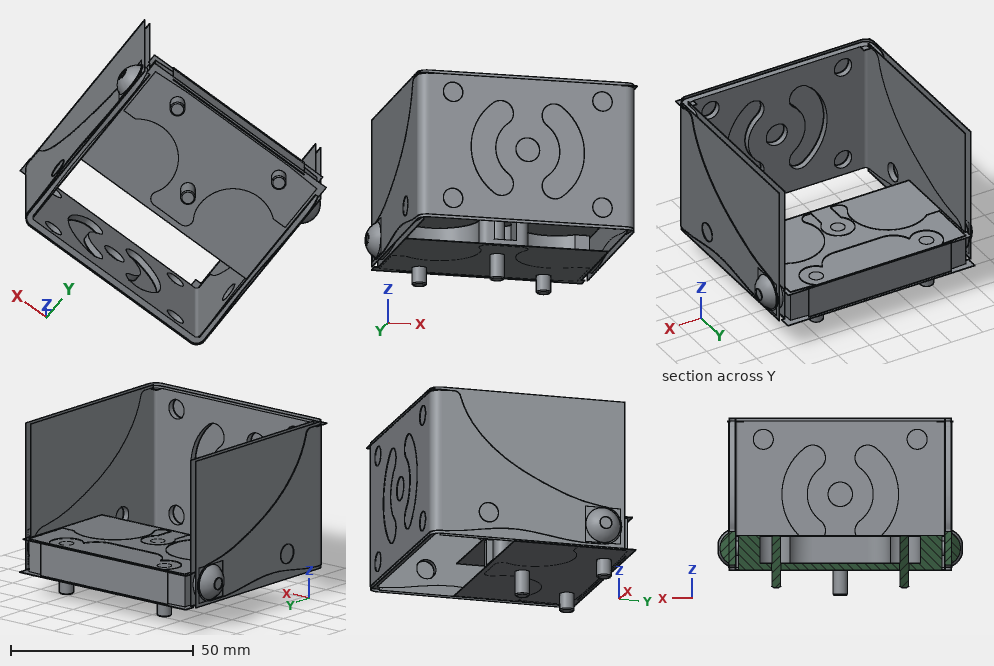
import cadquery as cq
import math

TINY_STEP = 0.1
PANEL = 0.2
MARGIN = 0.8

SHEET = 2.0
HALF_WIDTH = 30.5
INNER_HALF_WIDTH = HALF_WIDTH - SHEET
BEND_RADIUS = 2.8
PANEL_HEIGHT = 41.6
PANEL_LENGTH = 55.25
MID_Z = PANEL_HEIGHT / 2
SHEET_TOP = PANEL_HEIGHT - MARGIN
CORNER_OVERHANG = 0.3
CORNER_PLATE = 4.3
FRONT_Y = CORNER_OVERHANG

ARM_END_RADIUS = 5.35
SHOULDER_Y = 6.35
SHOULDER_MIDDLE = (7.7, 40.4)
SHOULDER_END = (8.4, 39.15)
SWEEP_POINTS = [(13.5, 29.9), (24.7, 20.6), (35.4, 15.3)]
SWEEP_START_DIRECTION = (0.3, -1)
SWEEP_END_DIRECTION = (1, -0.15)
UNDERSIDE_BACK_Y = 43.2
UNDERSIDE_POINTS = [(33.7, 1.9), (26.9, 2.8), (19.5, 2.8), (13.35, 1.95), (4.0, MARGIN)]

FIXING_RADIUS = 2.75
FIXING_X = 21.05
FIXING_Z = 15.0
CENTRE_RADIUS = 3.35
SLOT_PATH_RADIUS = 12.5
SLOT_WIDTH = 6.95
SLOT_HALF_ANGLE = 53
ARM_HOLE_Y = 16.4
ARM_HOLE_Z = 7.1

SCREW_Y = 49.0
SCREW_Z = 6.1
HEAD_RADIUS = 4.95
HEAD_TIP_X = 33.4
HEAD_HEIGHT = HEAD_TIP_X - HALF_WIDTH
HEAD_MID_RADIUS = 3.7
HEAD_MID_RISE = 0.6
COLLAR_SIDE = 10.0
SOCKET_RADIUS = 1.7
SOCKET_DEPTH = 0.35
SHANK_RADIUS = 2.0
SHANK_LENGTH = 6.0

BASE_TOP = 9.55
FLOOR = SHEET
TAB_X = 27.85
TAB_BACK_Y = 56.85
BACK_Y = 57.4
TAB_FRONT_Y = 42.6
COVE_RADIUS = 11.35
COVE_X = 16.55
COVE_Y = 33.85
FOOT_RADIUS = 2.3
FOOT_X = 4.55
FOOT_Y = 28.2
NECK_MIDDLE = (5.5, 31.5)
FOOT_TOP = (6.4, 29.4)
POCKET_RADIUS = 4.7
POCKET_FRONT_Y = 45.9
POCKET_FLAT_X = 7.7
POCKET_CUSP = (13.75, 50.35)
POCKET_MOUTH_X = 20.2
POCKET_CORNER_RADIUS = 6.35
KEY_SLOT_X = 3.1
BOTTOM_PANEL_BACK = 58.7
BOTTOM_PANEL_FRONT = 24.3
BOTTOM_PANEL_X = 29.65
TOP_PANEL_X = 29.05
BACK_PANEL_X = 22.65
BACK_PANEL_TOP = 9.8

PIN_RADIUS = 2.0
PIN_CHAMFER = 0.35
SIDE_PIN_X = 17.5
SIDE_PIN_Y = 53.2
SIDE_PIN_DROP = 4.8
CENTRE_PIN_Y = 35.2
CENTRE_PIN_DROP = 6.8
PIN_PLACES = [
    (-SIDE_PIN_X, SIDE_PIN_Y, SIDE_PIN_DROP),
    (0, CENTRE_PIN_Y, CENTRE_PIN_DROP),
    (SIDE_PIN_X, SIDE_PIN_Y, SIDE_PIN_DROP),
]


def box(x0, x1, y0, y1, z0, z1):
    """Box between two opposite corners."""
    return cq.Workplane("XY").box(x1 - x0, y1 - y0, z1 - z0, centered=False).translate((x0, y0, z0))


def rod_z(x, y, radius, z0, z1):
    """Vertical cylinder between two heights."""
    return cq.Workplane("XY", origin=(x, y, z0)).circle(radius).extrude(z1 - z0)


def rod_x(y, z, radius, half_length):
    """Cylinder along X, centred on X = 0."""
    return cq.Workplane("YZ", origin=(0, y, z)).circle(radius).extrude(half_length, both=True)


def mirrored(body):
    """The body together with its mirror image across X = 0."""
    return body.union(body.mirror("YZ"))


def u_block(inset):
    """Solid with the outer outline of the bracket, moved inwards by inset."""
    half = HALF_WIDTH - inset
    block = box(-half, half, FRONT_Y + inset, PANEL_LENGTH, 0, PANEL_HEIGHT)
    return block.edges("|Z and <Y").fillet(BEND_RADIUS - inset)


def u_shell(inset, thickness):
    """U-shaped layer of the bracket, at full panel height."""
    return u_block(inset).cut(u_block(inset + thickness))


def arm_outline():
    """Side outline of the thick sheet: tall at the front, sweeping down to a round screw end."""
    end_top = (SCREW_Y, SCREW_Z + ARM_END_RADIUS)
    end_tip = (SCREW_Y + ARM_END_RADIUS, SCREW_Z)
    end_bottom = (SCREW_Y, SCREW_Z - ARM_END_RADIUS)
    sweep_directions = [SWEEP_START_DIRECTION, SWEEP_END_DIRECTION]
    return (
        cq.Workplane("YZ", origin=(-HALF_WIDTH, 0, 0))
        .moveTo(FRONT_Y, MARGIN)
        .lineTo(FRONT_Y, SHEET_TOP)
        .lineTo(SHOULDER_Y, SHEET_TOP)
        .threePointArc(SHOULDER_MIDDLE, SHOULDER_END)
        .spline([*SWEEP_POINTS, end_top], tangents=sweep_directions, includeCurrent=True)
        .threePointArc(end_tip, end_bottom)
        .lineTo(UNDERSIDE_BACK_Y, SCREW_Z - ARM_END_RADIUS)
        .spline(UNDERSIDE_POINTS, includeCurrent=True)
        .close()
        .extrude(2 * HALF_WIDTH)
    )


def curved_slot():
    """Cutter for the right-hand arc slot with round ends in the front wall."""
    angle = math.radians(SLOT_HALF_ANGLE)
    inner = SLOT_PATH_RADIUS - SLOT_WIDTH / 2
    outer = SLOT_PATH_RADIUS + SLOT_WIDTH / 2

    def polar(radius, turn):
        return radius * math.cos(turn), radius * math.sin(turn)

    def end_tip(side):
        x, z = polar(SLOT_PATH_RADIUS, side * angle)
        end = SLOT_WIDTH / 2
        return x - end * math.sin(angle), z + side * end * math.cos(angle)

    return (
        cq.Workplane("XZ", origin=(0, FRONT_Y, MID_Z))
        .moveTo(*polar(outer, -angle))
        .threePointArc((outer, 0), polar(outer, angle))
        .threePointArc(end_tip(1), polar(inner, angle))
        .threePointArc((inner, 0), polar(inner, -angle))
        .threePointArc(end_tip(-1), polar(outer, -angle))
        .close()
        .extrude(-SHEET)
    )


def front_openings():
    """Cutters for the round holes and the two arc slots in the front wall."""
    wall = cq.Workplane("XZ", origin=(0, FRONT_Y, MID_Z))
    corners = [(sx * FIXING_X, sz * FIXING_Z) for sx in (-1, 1) for sz in (-1, 1)]
    fixings = wall.pushPoints(corners).circle(FIXING_RADIUS).extrude(-SHEET)
    centre = wall.circle(CENTRE_RADIUS).extrude(-SHEET)
    return fixings.union(centre).union(mirrored(curved_slot()))


def corner_plate():
    """Thin square plate over the top end of the right-hand bend."""
    x = HALF_WIDTH + CORNER_OVERHANG
    return box(x - CORNER_PLATE, x, 0, CORNER_PLATE, SHEET_TOP - PANEL, SHEET_TOP)


def make_bracket():
    """Thick sheet with openings, closed on the outside by a thin rectangular panel layer."""
    sheet = u_shell(0, SHEET).intersect(arm_outline())
    inner_panel = box(
        INNER_HALF_WIDTH, INNER_HALF_WIDTH + PANEL, FRONT_Y + BEND_RADIUS, PANEL_LENGTH, 0, PANEL_HEIGHT
    )
    bracket = sheet.union(mirrored(inner_panel))
    bracket = bracket.cut(front_openings())
    bracket = bracket.cut(rod_x(ARM_HOLE_Y, ARM_HOLE_Z, FIXING_RADIUS, HALF_WIDTH))
    bracket = bracket.union(u_shell(TINY_STEP, PANEL))
    bracket = bracket.union(mirrored(corner_plate()))
    return bracket.cut(rod_x(SCREW_Y, SCREW_Z, SHANK_RADIUS, HALF_WIDTH))


def base_half_outline():
    """Right half of the block: a tab, a concave cove and a rounded foot."""
    cove_start_x = COVE_X + math.sqrt(COVE_RADIUS**2 - (TAB_FRONT_Y - COVE_Y) ** 2)
    cove_side = (COVE_X - COVE_RADIUS, COVE_Y)
    return (
        cq.Workplane("XY")
        .moveTo(0, BACK_Y)
        .lineTo(SIDE_PIN_X, BACK_Y)
        .lineTo(TAB_X, TAB_BACK_Y)
        .lineTo(TAB_X, TAB_FRONT_Y)
        .lineTo(cove_start_x, TAB_FRONT_Y)
        .threePointArc((COVE_X, COVE_Y + COVE_RADIUS), cove_side)
        .threePointArc(NECK_MIDDLE, FOOT_TOP)
        .threePointArc((FOOT_X + FOOT_RADIUS, FOOT_Y), (FOOT_X, FOOT_Y - FOOT_RADIUS))
        .lineTo(0, FOOT_Y - FOOT_RADIUS)
        .close()
        .extrude(BASE_TOP)
    )


def back_pocket_half():
    """Right half of the pocket open to the back: a lobe round the pin and a rounded front edge."""
    lobe = rod_z(SIDE_PIN_X, SIDE_PIN_Y, POCKET_RADIUS, FLOOR, BASE_TOP)
    arc_centre_y = POCKET_FRONT_Y + POCKET_CORNER_RADIUS
    arc_turn = math.radians(45)
    arc_middle = (
        POCKET_FLAT_X + POCKET_CORNER_RADIUS * math.cos(arc_turn),
        arc_centre_y - POCKET_CORNER_RADIUS * math.sin(arc_turn),
    )
    middle = (
        cq.Workplane("XY", origin=(0, 0, FLOOR))
        .moveTo(0, POCKET_FRONT_Y)
        .lineTo(POCKET_FLAT_X, POCKET_FRONT_Y)
        .threePointArc(arc_middle, POCKET_CUSP)
        .lineTo(SIDE_PIN_X, SIDE_PIN_Y)
        .lineTo(POCKET_MOUTH_X, BACK_Y)
        .lineTo(0, BACK_Y)
        .close()
        .extrude(BASE_TOP - FLOOR)
    )
    return middle.union(lobe)


def key_pocket():
    """Keyhole pocket round the centre pin, open at the foot."""
    round_part = rod_z(0, CENTRE_PIN_Y, POCKET_RADIUS, FLOOR, BASE_TOP)
    slot = box(-KEY_SLOT_X, KEY_SLOT_X, FOOT_Y - FOOT_RADIUS, CENTRE_PIN_Y, FLOOR, BASE_TOP)
    return round_part.union(slot)


def base_panel(half_x, front, back, z):
    """Thin rectangular panel that fits between the arms and widens behind them."""
    between_arms = box(-INNER_HALF_WIDTH, INNER_HALF_WIDTH, front, back, z, z + PANEL)
    behind_arms = box(-half_x, half_x, PANEL_LENGTH, back, z, z + PANEL)
    return between_arms.union(behind_arms)


def make_base():
    """Pocketed block between a bottom, a top and a back panel, bored for the pins and screws."""
    top_panel_z = BASE_TOP - TINY_STEP - PANEL
    top_back = BOTTOM_PANEL_BACK - MARGIN
    base = mirrored(base_half_outline()).cut(mirrored(back_pocket_half())).cut(key_pocket())
    base = base.union(base_panel(BOTTOM_PANEL_X, BOTTOM_PANEL_FRONT, BOTTOM_PANEL_BACK, 0))
    base = base.union(base_panel(TOP_PANEL_X, BOTTOM_PANEL_FRONT + MARGIN, top_back, top_panel_z))
    base = base.union(
        box(-BACK_PANEL_X, BACK_PANEL_X, top_back - TINY_STEP, top_back + PANEL, 0, BACK_PANEL_TOP)
    )
    for x, y, _ in PIN_PLACES:
        base = base.cut(rod_z(x, y, PIN_RADIUS, 0, top_panel_z))
    screw_bore = rod_x(SCREW_Y, SCREW_Z, SHANK_RADIUS, TAB_X)
    bore_core = rod_x(SCREW_Y, SCREW_Z, SHANK_RADIUS, HALF_WIDTH - SHANK_LENGTH)
    return base.cut(screw_bore.cut(bore_core))


def make_pin(x, y, drop):
    """Pin that stands in the base and hangs below it, chamfered at the lower end."""
    pin = rod_z(x, y, PIN_RADIUS, -drop, BASE_TOP - TINY_STEP - PANEL)
    return pin.faces("<Z").chamfer(PIN_CHAMFER)


def make_screw(side):
    """Domed screw through one arm into the base; side is +1 or -1 along X."""
    dome_middle = (HALF_WIDTH + HEAD_MID_RISE * HEAD_HEIGHT, HEAD_MID_RADIUS)
    profile = (
        cq.Workplane("XY")
        .moveTo(HALF_WIDTH - SHANK_LENGTH, 0)
        .lineTo(HALF_WIDTH - SHANK_LENGTH, SHANK_RADIUS)
        .lineTo(HALF_WIDTH, SHANK_RADIUS)
        .lineTo(HALF_WIDTH, HEAD_RADIUS)
        .threePointArc(dome_middle, (HEAD_TIP_X, SOCKET_RADIUS))
        .lineTo(HEAD_TIP_X - SOCKET_DEPTH, SOCKET_RADIUS)
        .lineTo(HEAD_TIP_X - SOCKET_DEPTH, 0)
        .close()
    )
    collar = cq.Workplane("YZ", origin=(HALF_WIDTH, 0, 0)).rect(COLLAR_SIDE, COLLAR_SIDE)
    screw = profile.revolve(360, (0, 0, 0), (1, 0, 0)).union(collar.extrude(TINY_STEP))
    if side < 0:
        screw = screw.mirror("YZ")
    return screw.translate((0, SCREW_Y, SCREW_Z))


bracket = make_bracket()
base = make_base()
pins = [make_pin(*place) for place in PIN_PLACES]
screws = [make_screw(side) for side in (-1, 1)]

result = cq.Compound.makeCompound(
    [body.solids().val() for body in [bracket, base, *pins, *screws]]
)